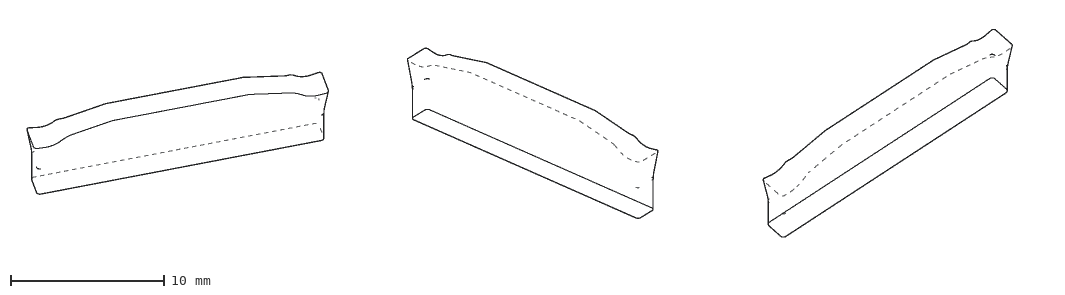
import cadquery as cq
import math

length = 19.95
height = 5.55
body_width = 1.64
head_width = 2.0
shank_end_y = 9.72
crown_half_length = 4.65

tip_y = length / 2
tip_z = 4.5
flank_bottom_z = 2.95
blend_bottom_z = 2.45
land_end_y = 9.28
land_end_z = 4.4
groove_end_y = 8.08
groove_end_z = 4.75
ramp_end_y = 7.85
ramp_end_z = 4.87
head_floor_z = 2.35

side_relief_y = 0.053
side_relief_z = 0.077
side_reference_y = 9.78
rear_taper = 0.25
rear_low_y = 8.02
rear_low_z = 3.41
rear_line_lean = 1 / 3
rear_edge_radius = 0.4
head_corner_radius = 0.2
shank_corner_radius = 0.24
side_stock = 0.1
cutter_size = 39.9

flank_angle = math.atan((tip_y - shank_end_y) / (tip_z - (flank_bottom_z + blend_bottom_z) / 2))
flank_bottom_y = tip_y - (tip_z - flank_bottom_z) * math.tan(flank_angle)


def head_end(sketch):
    """Continue an outline from the shank end up the flank and over the chip groove."""
    return (
        sketch.lineTo(shank_end_y, blend_bottom_z)
        .tangentArcPoint((flank_bottom_y, flank_bottom_z), relative=False)
        .lineTo(tip_y, tip_z)
        .lineTo(land_end_y, land_end_z)
        .tangentArcPoint((groove_end_y, groove_end_z), relative=False)
        .lineTo(ramp_end_y, ramp_end_z)
        .lineTo(crown_half_length, height)
    )


def extrude_outline(bottom_z, width):
    """Extrude the outline from mid-length to the +Y end, centred on X."""
    sketch = cq.Workplane("YZ").moveTo(0, bottom_z).lineTo(shank_end_y, bottom_z)
    return head_end(sketch).lineTo(0, height).close().extrude(width / 2, both=True)


def round_end_corners(solid, radius):
    """Round the edges running up both sides of the end face."""
    box = cq.selectors.BoxSelector(
        (-head_width, shank_end_y - radius / 2, -0.2),
        (head_width, tip_y + 0.2, tip_z - 0.2),
    )
    return solid.edges(box).edges("not(|X or |Y)").fillet(radius)


def trim_side(solid, point, normal):
    """Remove everything outside a sloping plane."""
    plane = cq.Plane(origin=point, xDir=(0, normal[2], -normal[1]), normal=normal)
    return solid.cut(cq.Workplane(plane).rect(cutter_size, cutter_size).extrude(cutter_size))


def make_half_body():
    return round_end_corners(extrude_outline(0, body_width), shank_corner_radius)


def make_head():
    """Flared head, relieved downwards and backwards on both sides."""
    head = extrude_outline(head_floor_z, head_width + 2 * side_stock)
    for side in (-1, 1):
        head = trim_side(
            head,
            (side * head_width / 2, side_reference_y, tip_z),
            (side, -side_relief_y, -side_relief_z),
        )
        head = trim_side(
            head,
            (side * body_width / 2, rear_low_y, rear_low_z),
            (side, -rear_taper, -rear_taper * rear_line_lean),
        )
    rear_edges = cq.selectors.BoxSelector(
        (-head_width, rear_low_y - 0.2, head_floor_z), (head_width, rear_low_y + 0.2, groove_end_z - 0.2)
    )
    head = head.edges(rear_edges).edges("not(|X or |Y)").fillet(rear_edge_radius)
    return round_end_corners(head, head_corner_radius)


half = make_half_body().union(make_head())
result = half.union(half.mirror("XZ"))